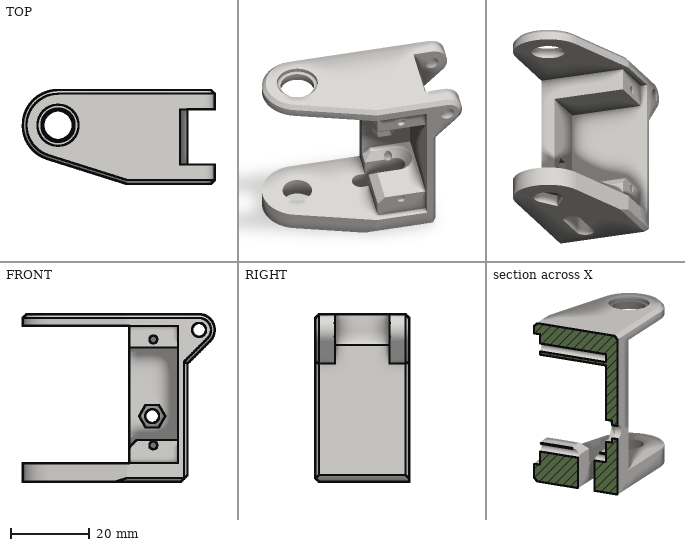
import cadquery as cq
import math

height = 42.75
length = 48.95
width = 24.0

pivot_radius = 9.0
corner_x = 17.6
lower_arm_thickness = 4.75
upper_arm_thickness = 3.0
edge_chamfer = 1.0
heel_chamfer = 1.75
lower_bore_dia = 7.5
upper_bore_dia = 8.5
recess_dia = 10.5
recess_depth = 1.0
keyway_height = 2.85
keyway_angle = 55.0

wall_outer_x = 33.05
wall_inner_x = 30.6
block_x = 18.1
flange_inner_y = 5.5
block_end_y = -13.25
upper_block_z = 34.3
lower_block_z = 10.68
block_chamfer = 1.9

slot_start_x = 16.55
slot_end_x = 25.8
slot_radius = 2.25
slot_flare_radius = 4.0
slot_flare_depth = 1.9

pin_dia = 2.0
pin_x = 24.3
pin_heights = (9.3, 36.3)
bolt_dia = 3.5
bolt_x = 24.0
bolt_z = 16.75
nut_across_flats = 5.8
nut_depth = 1.8

lug_radius = 4.0
lug_width = 5.0
lug_hole_dia = 3.5
lug_root_x = 31.15
knuckle_clearance = 4.8

back_y = pivot_radius
front_y = back_y - width
upper_arm_z = height - upper_arm_thickness
lug_x = length - pivot_radius - lug_radius
lug_z = height - lug_radius


def box(x_min, x_max, y_min, y_max, z_min, z_max):
    size = (x_max - x_min, y_max - y_min, z_max - z_min)
    return cq.Workplane("XY").box(*size, centered=False).translate((x_min, y_min, z_min))


def cylinder_z(diameter, z_min, z_max):
    return cq.Workplane("XY", origin=(0, 0, z_min)).circle(diameter / 2).extrude(z_max - z_min)


def cylinder_y(x, z, diameter, y_min, y_max):
    plane = cq.Workplane("XZ", origin=(x, y_min, z))
    return plane.circle(diameter / 2).extrude(y_min - y_max)


def pivot_point(angle):
    return (pivot_radius * math.cos(angle), pivot_radius * math.sin(angle))


def make_shell():
    """Rounded arm outline at full height, hollowed to two arms and an end wall."""
    corner_distance = math.hypot(corner_x, front_y)
    tangent_angle = math.atan2(front_y, corner_x) - math.acos(pivot_radius / corner_distance)
    outline = (
        cq.Workplane("XY")
        .moveTo(0, back_y)
        .threePointArc((-pivot_radius, 0), pivot_point(tangent_angle))
        .lineTo(corner_x, front_y)
        .lineTo(wall_outer_x - edge_chamfer, front_y)
        .lineTo(wall_outer_x, front_y + edge_chamfer)
        .lineTo(wall_outer_x, back_y - edge_chamfer)
        .lineTo(wall_outer_x - edge_chamfer, back_y)
        .close()
    )
    shell = outline.extrude(height).faces(">Z").edges().chamfer(edge_chamfer)
    opening = box(-length, wall_inner_x, -length, length, lower_arm_thickness, upper_arm_z)
    return shell.cut(opening)


def make_bottom_chamfers():
    """Wedges removed along the front and wall sides of the underside."""
    front = (
        cq.Workplane("YZ", origin=(-pivot_radius, 0, 0))
        .polyline([(front_y, 0), (front_y + edge_chamfer, 0), (front_y, edge_chamfer)])
        .close()
        .extrude(length)
    )
    heel = (
        cq.Workplane("XZ", origin=(0, back_y, 0))
        .polyline([(wall_outer_x, 0), (wall_outer_x - heel_chamfer, 0), (wall_outer_x, heel_chamfer)])
        .close()
        .extrude(width)
    )
    return front.union(heel)


def make_inner_blocks():
    """Side flange plus the upper block and the chamfered lower block."""
    flange = box(block_x, wall_inner_x, flange_inner_y, back_y, lower_arm_thickness, upper_arm_z)
    upper = box(block_x, wall_inner_x, block_end_y, flange_inner_y, upper_block_z, upper_arm_z)
    lower = box(block_x, wall_inner_x, block_end_y, flange_inner_y, lower_arm_thickness, lower_block_z)
    lower = lower.edges("<X and >Z").chamfer(block_chamfer)
    return flange.union(upper).union(lower)


def make_slot():
    """Through slot whose upper edge flares outward."""
    span = slot_end_x - slot_start_x
    middle_x = (slot_start_x + slot_end_x) / 2
    flare_z = lower_block_z - slot_flare_depth
    straight = (
        cq.Workplane("XY", origin=(middle_x, 0, 0))
        .slot2D(span + 2 * slot_radius, 2 * slot_radius)
        .extrude(lower_block_z)
    )
    flare_angle = math.degrees(math.atan((slot_flare_radius - slot_radius) / slot_flare_depth))
    flare = (
        cq.Workplane("XY", origin=(middle_x, 0, flare_z))
        .slot2D(span + 2 * slot_radius, 2 * slot_radius)
        .extrude(slot_flare_depth, taper=-flare_angle)
    )
    return straight.union(flare)


def make_pivot_holes():
    """Recessed bore in the upper arm, plain bore with a teardrop keyway in the lower arm."""
    radius = lower_bore_dia / 2
    angle = math.radians(keyway_angle)
    tangent_x = radius * math.cos(angle)
    tangent_y = radius * math.sin(angle)
    keyway = (
        cq.Workplane("XY")
        .polyline([(0, 0), (tangent_x, -tangent_y), (radius / math.cos(angle), 0), (tangent_x, tangent_y)])
        .close()
        .extrude(keyway_height)
    )
    lower_bore = cylinder_z(lower_bore_dia, 0, lower_arm_thickness)
    upper_bore = cylinder_z(upper_bore_dia, upper_arm_z, height)
    recess = cylinder_z(recess_dia, height - recess_depth, height)
    return lower_bore.union(keyway).union(upper_bore).union(recess)


def make_bolt_hole():
    """Bolt hole through the side flange with a hexagonal nut pocket inside."""
    nut_across_corners = nut_across_flats / math.cos(math.pi / 6)
    nut = (
        cq.Workplane("XZ", origin=(bolt_x, flange_inner_y, bolt_z))
        .polygon(6, nut_across_corners)
        .extrude(-nut_depth)
    )
    return nut.union(cylinder_y(bolt_x, bolt_z, bolt_dia, flange_inner_y, back_y))


def make_lug(y_min, outer_side):
    """Rounded hinge lug, chamfered on its outer side face."""
    diagonal = lug_radius * math.sqrt(0.5)
    tangent = (lug_x + diagonal, lug_z - diagonal)
    middle_angle = math.pi / 8
    arc_middle = (lug_x + lug_radius * math.cos(middle_angle), lug_z + lug_radius * math.sin(middle_angle))
    root_z = tangent[1] - (tangent[0] - lug_root_x)
    lug = (
        cq.Workplane("XZ", origin=(0, y_min, 0))
        .moveTo(lug_root_x, height)
        .lineTo(lug_x, height)
        .threePointArc(arc_middle, tangent)
        .lineTo(lug_root_x, root_z)
        .close()
        .extrude(-lug_width)
    )
    return lug.faces(outer_side).edges("not <X").chamfer(edge_chamfer)


def make_knuckle_space():
    """Room between the lugs for the mating hinge knuckle."""
    y_min = front_y + lug_width
    y_max = back_y - lug_width
    round_part = cylinder_y(lug_x, lug_z, 2 * knuckle_clearance, y_min, y_max)
    upper_part = box(lug_x - knuckle_clearance, length, y_min, y_max, lug_z, height)
    return round_part.union(upper_part)


result = make_shell().cut(make_bottom_chamfers()).union(make_inner_blocks())
result = result.union(make_lug(front_y, "<Y")).union(make_lug(back_y - lug_width, ">Y"))
result = result.cut(make_knuckle_space()).cut(make_slot()).cut(make_pivot_holes()).cut(make_bolt_hole())
for pin_z in pin_heights:
    result = result.cut(cylinder_y(pin_x, pin_z, pin_dia, block_end_y, flange_inner_y))
result = result.cut(cylinder_y(lug_x, lug_z, lug_hole_dia, front_y, back_y))